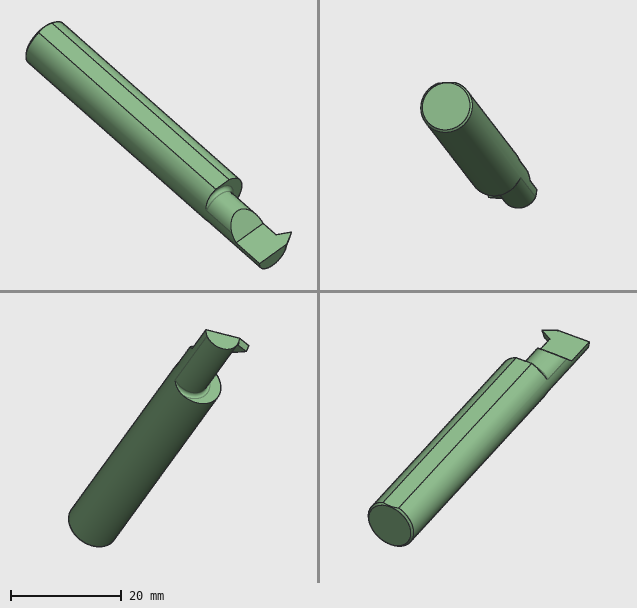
import cadquery as cq
import math

total_length = 63.5
shank_diameter = 9.525
shank_radius = shank_diameter / 2
shank_length = 48.2
end_chamfer = 0.38

flat_height = 4.4775

neck_radius = 3.35
neck_axis_y = -1.51
neck_side_y = neck_axis_y + neck_radius
neck_fillet = 0.75

face_z = 0
face_length = 6.35
ramp_angle = 45

tooth_tip_y = 4.35
tooth_tip_setback = 1.45
tooth_half_angle = 30
tooth_thickness = 1.5
tooth_relief_angle = 10


def make_shank_cylinder(length):
    return cq.Workplane("YZ").circle(shank_radius).extrude(length)


def make_shank():
    shank = make_shank_cylinder(shank_length).faces("<X").chamfer(end_chamfer)
    flat_cutter = cq.Workplane("XY").box(
        shank_length, shank_diameter, shank_diameter, centered=(False, True, False)
    )
    return shank.cut(flat_cutter.translate((0, 0, flat_height)))


def make_neck():
    root_radius = neck_radius + neck_fillet
    arc_offset = neck_fillet * (1 - math.cos(math.radians(45)))
    profile = (
        cq.Workplane("XY")
        .moveTo(shank_length, 0)
        .lineTo(shank_length, root_radius)
        .threePointArc(
            (shank_length + arc_offset, neck_radius + arc_offset),
            (shank_length + neck_fillet, neck_radius),
        )
        .lineTo(total_length, neck_radius)
        .lineTo(total_length, 0)
        .close()
    )
    neck = profile.revolve(360, (0, 0, 0), (1, 0, 0)).translate((0, neck_axis_y, 0))
    return neck.intersect(make_shank_cylinder(total_length))


def make_face_cutter():
    """Material removed above the cutting face and the ramp."""
    ramp_end_x = total_length - face_length
    ramp_height = shank_radius - face_z
    ramp_run = ramp_height / math.tan(math.radians(ramp_angle))
    return (
        cq.Workplane("XZ")
        .moveTo(total_length, face_z)
        .lineTo(ramp_end_x, face_z)
        .lineTo(ramp_end_x - ramp_run, shank_radius)
        .lineTo(total_length, shank_radius)
        .close()
        .extrude(shank_radius, both=True)
    )


def make_tooth():
    """Pointed tooth tapering in below the cutting face, rooted inside the neck."""
    tip_x = total_length - tooth_tip_setback
    half_base = (tooth_tip_y - neck_side_y) * math.tan(math.radians(tooth_half_angle))
    return (
        cq.Workplane("XY", origin=(0, 0, face_z))
        .moveTo(tip_x, tooth_tip_y)
        .lineTo(tip_x - half_base, neck_side_y)
        .lineTo(tip_x - half_base, neck_axis_y)
        .lineTo(tip_x + half_base, neck_axis_y)
        .lineTo(tip_x + half_base, neck_side_y)
        .close()
        .extrude(-tooth_thickness, taper=tooth_relief_angle)
    )


neck = make_neck().cut(make_face_cutter())
result = make_shank().union(neck).union(make_tooth())